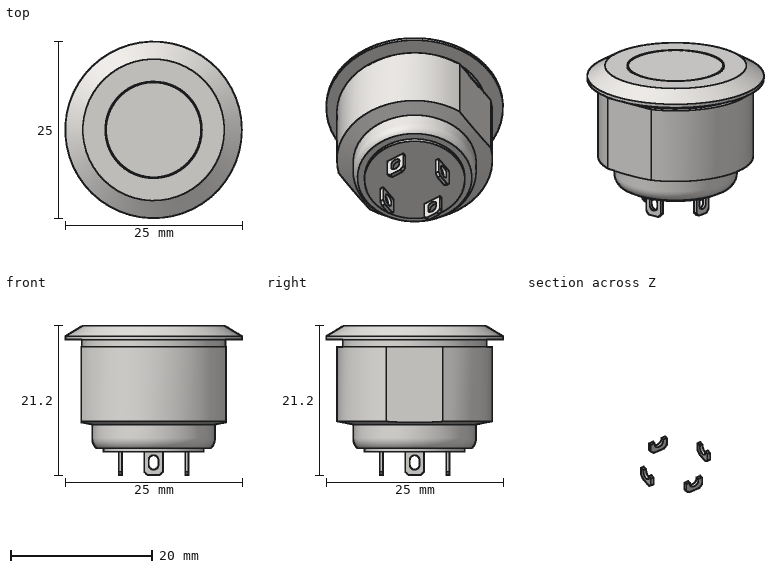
import cadquery as cq
import math

flange_height = 2.0
flange_rim_height = 0.5
neck_bottom_z = -1.0
body_edge_z = -11.55
body_bottom_z = -12.0
base_straight_end_z = -13.95
base_bottom_z = -15.35
boss_bottom_z = -15.85
overall_height = 21.15
pin_tip_z = flange_height - overall_height

flange_diameter = 25.0
flange_top_diameter = 20.0
neck_diameter = 20.4
body_diameter = 22.0
base_diameter = 17.4
base_edge_radius = 1.9
boss_diameter = 14.2

body_flat_spacing = 20.5

button_diameter = 13.7
button_chamfer = 0.15

pin_count = 4
pin_width = 2.7
pin_thickness = 0.5
pin_center_radius = 4.7
pin_tip_chamfer = 0.5
pin_slot_width = 1.35
pin_slot_height = 2.0
pin_slot_offset = 0.5
pin_embed = 0.2


def cylinder(diameter, bottom_z, top_z):
    return cq.Workplane("XY").workplane(offset=bottom_z).circle(diameter / 2).extrude(top_z - bottom_z)


def make_flange():
    """Flange with a short vertical rim and a conical top side."""
    rim_radius = flange_diameter / 2
    profile = [
        (0, 0),
        (rim_radius, 0),
        (rim_radius, flange_rim_height),
        (flange_top_diameter / 2, flange_height),
        (0, flange_height),
    ]
    return cq.Workplane("XZ").polyline(profile).close().revolve(360, (0, 0), (0, 1))


def make_body():
    """Body with a conical underside and two parallel flats."""
    body_radius = body_diameter / 2
    profile = [
        (0, neck_bottom_z),
        (body_radius, neck_bottom_z),
        (body_radius, body_edge_z),
        (base_diameter / 2, body_bottom_z),
        (0, body_bottom_z),
    ]
    body = cq.Workplane("XZ").polyline(profile).close().revolve(360, (0, 0), (0, 1))
    flats_height = neck_bottom_z - body_bottom_z
    slab = (
        cq.Workplane("XY")
        .workplane(offset=body_bottom_z)
        .rect(body_flat_spacing, body_diameter)
        .extrude(flats_height)
    )
    return body.intersect(slab)


def make_base():
    """Lower housing whose bottom edge is an arc, tangent to the wall and cut short by the flat bottom."""
    base_radius = base_diameter / 2
    arc_center_x = base_radius - base_edge_radius
    arc_angle = math.asin((base_straight_end_z - base_bottom_z) / base_edge_radius)

    def arc_point(angle):
        return (
            arc_center_x + base_edge_radius * math.cos(angle),
            base_straight_end_z - base_edge_radius * math.sin(angle),
        )

    return (
        cq.Workplane("XZ")
        .moveTo(0, body_bottom_z)
        .lineTo(base_radius, body_bottom_z)
        .lineTo(base_radius, base_straight_end_z)
        .threePointArc(arc_point(arc_angle / 2), arc_point(arc_angle))
        .lineTo(0, base_bottom_z)
        .close()
        .revolve(360, (0, 0), (0, 1))
    )


def make_button_groove():
    """Ring with a triangular section that separates the button from the flange."""
    outer_radius = button_diameter / 2
    profile = [
        (outer_radius - button_chamfer, flange_height),
        (outer_radius, flange_height),
        (outer_radius, flange_height - button_chamfer),
    ]
    return cq.Workplane("XZ").polyline(profile).close().revolve(360, (0, 0), (0, 1))


def make_pin():
    """Flat pin on the +X side, with a chamfered tip and a round-ended slot through its thickness."""
    top_z = boss_bottom_z + pin_embed
    blade = (
        cq.Workplane("XY")
        .box(pin_thickness, pin_width, top_z - pin_tip_z)
        .translate((pin_center_radius, 0, (top_z + pin_tip_z) / 2))
        .faces("<Z")
        .edges("|X")
        .chamfer(pin_tip_chamfer)
    )
    slot_center_z = boss_bottom_z - pin_slot_offset - pin_slot_height / 2
    slot = (
        cq.Workplane("YZ")
        .center(0, slot_center_z)
        .slot2D(pin_slot_height, pin_slot_width, 90)
        .extrude(flange_diameter / 2)
    )
    return blade.cut(slot)


result = make_flange()
result = result.union(cylinder(neck_diameter, neck_bottom_z, 0))
result = result.union(make_body())
result = result.union(make_base())
result = result.union(cylinder(boss_diameter, boss_bottom_z, base_bottom_z))
result = result.cut(make_button_groove())

pin = make_pin()
for index in range(pin_count):
    pin_angle = index * 360 / pin_count
    result = result.union(pin.rotate((0, 0, 0), (0, 0, 1), pin_angle))